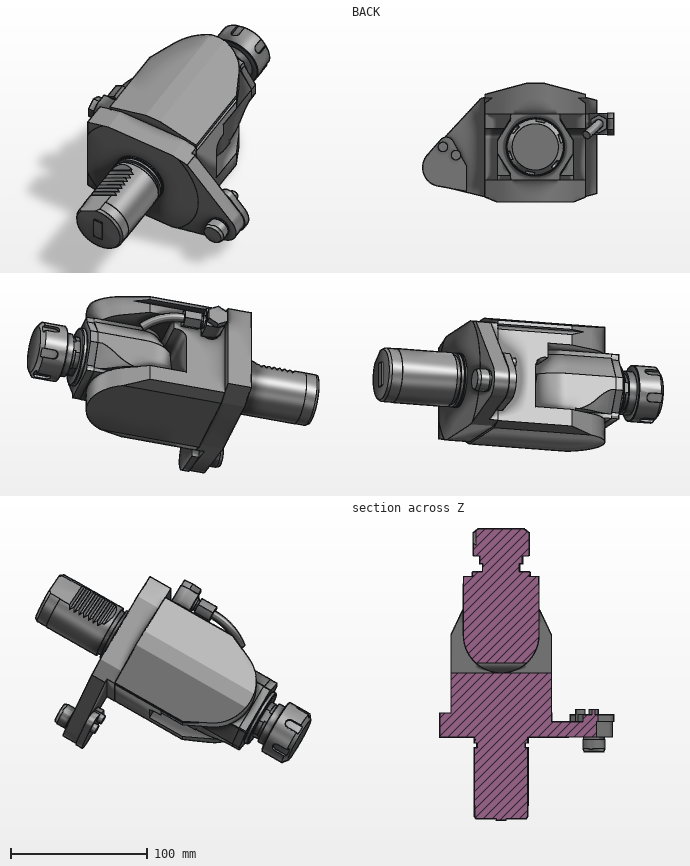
import math

import cadquery as cq


SHANK_DIAMETER = 40.0
SHANK_TIP_DIAMETER = 39.6
SHANK_LENGTH = 60.0
SHANK_TIP_LENGTH = 10.0
TIP_CHAMFER_LENGTH = 2.0
TIP_CHAMFER_DEPTH = 1.2
RELIEF_DIAMETER = 39.0
RELIEF_START = 1.2
RELIEF_END = 2.0
SEAL_GROOVE_DIAMETER = 36.0
SEAL_GROOVE_START = 4.3
SEAL_GROOVE_END = 7.6
KEY_WIDTH = 7.4
KEY_HEIGHT = 17.8
KEY_PROJECTION = 1.0
KEY_CORNER_RADIUS = 0.8

SERRATION_TILT = 30.0
CREST_DISTANCE = 17.15
ROOT_DISTANCE = 15.3
FLAT_START = 12.5
GROOVE_COUNT = 7
GROOVE_PITCH = 4.0
FIRST_GROOVE = 15.9

FLANGE_THICKNESS = 18.0
FLANGE_HALF_HEIGHT = 39.1
FLANGE_LEFT = -45.3
FLANGE_FLAT_HALF_WIDTH = 27.2
EDGE_SLOPE = math.tan(math.radians(15.0))
FLANGE_CORNER_X = 40.0
CONTACT_FACE_RADIUS = 49.6
CONTACT_FACE_RELIEF = 0.1

LUG_CENTER = (68.2, -14.9)
LUG_RADIUS = 13.8
LUG_THICKNESS = 11.5
LUG_STEP_X = 37.2
PLATE_RIGHT = 82.9
PLATE_TIP_CENTER = (68.85, -15.1)
PLATE_RADIUS = PLATE_RIGHT - PLATE_TIP_CENTER[0]
PLATE_THICKNESS = 5.3
PLATE_EAR_CENTER = (65.4, 1.5)
PLATE_EAR_RADIUS = 5.7
PLATE_LEFT = 50.6
PLATE_LEFT_TOP = -14.0
PLATE_LEFT_BOTTOM = -32.5
PLATE_EAR_ANGLES = (151.0, 43.0)
PLATE_TIP_ANGLES = (41.0, -75.0)
SCREW_DIAMETER = 7.0
SCREW_PROJECTION = 3.8
SCREW_CENTERS = ((58.3, -6.0), (67.9, 0.0))
PIN_DIAMETER = 16.4
PIN_NECK_DIAMETER = 15.5
PIN_NECK_LENGTH = 1.4
PIN_LENGTH = 10.6
PIN_CHAMFER_LENGTH = 2.4
PIN_CHAMFER_DEPTH = 1.0
PIN_FLAT_WIDTH = 4.0
PIN_FLAT_TILT = 16.0

HOUSING_TOP = 47.0
HOUSING_BOTTOM = -40.5
HOUSING_HALF_WIDTH = 37.0
ROOF_HALF_WIDTH = 6.0
ROOF_EDGE_Z = HOUSING_TOP - (HOUSING_HALF_WIDTH - ROOF_HALF_WIDTH) * EDGE_SLOPE
SIDE_NOTCH_TOP = 36.0
SIDE_NOTCH_BOTTOM = 32.1
SIDE_NOTCH_DEPTH = 5.1
KEEL_HALF_WIDTH = 28.3
KEEL_EDGE_Z = -36.9
NOSE_Y = 112.0
NOSE_RADIUS = 31.0
NOSE_TAPER = 25.5
SLOT_END_Y = 47.4
SLOT_CORNER_RADIUS = 7.5
SLOT_SHOULDER_Z = 13.5

HEAD_FRONT = 118.4
HEAD_PLATE_Y = 112.7
HEAD_HALF_WIDTH = 27.9
HEAD_TOP_HALF_WIDTH = 18.2
HEAD_HALF_HEIGHT = 24.3
HEAD_STRIP_Z = 21.0
HEAD_WAIST_HALF_HEIGHT = 4.8
HEAD_PIVOT_Y = SLOT_END_Y + HEAD_HALF_WIDTH
HEAD_REAR_TOP_Y = HEAD_PIVOT_Y - HEAD_TOP_HALF_WIDTH
REAR_TAPER_END_Y = 53.7
REAR_SCALLOP_TOP_Y = 54.6
REAR_SCALLOP_MIDDLE = (52.2, -8.0)
REAR_SCALLOP_LOW = (SLOT_END_Y, -18.0)
PLATE_STRIP_Z = 19.8
PLATE_EDGE_Z = 22.4
PLATE_EDGE_DEPTH = 0.3
PLATE_INSET = 0.1
CHAMFER_RUN_OUT = 109.3
CHAMFER_VANISH = 84.5
RUN_OUT_UPPER = (105.5, 0.88)
RUN_OUT_INFLECTION = (100.2, 0.636)
RUN_OUT_LOWER = (91.6, 0.2)
STRIP_END_Y = 81.5

CHUCK_FRONT = 153.39
NUT_REAR = 133.3
NUT_DIAMETER = 41.5
NUT_FRONT_DIAMETER = 34.0
NUT_FRONT_CHAMFER = 2.9
NUT_REAR_CHAMFER = 0.5
COLLAR_DIAMETER = 32.0
COLLAR_REAR = 127.5
SPINDLE_DIAMETER = 29.0
SPINDLE_NECK_DIAMETER = 28.2
SPINDLE_NECK_REAR = 125.3
WRENCH_FLAT_DISTANCE = 13.6
WRENCH_FLAT_TILT = 4.0
RING_DIAMETER = 43.0
RING_FRONT = 121.9
RING_CHAMFER = 0.7
NUT_SLOT_COUNT = 6
NUT_SLOT_WIDTH = 6.6
NUT_SLOT_END = 139.7
NUT_SLOT_FLOOR = 18.6
NUT_SLOT_TILT = 11.3

ELBOW_Y = 29.3
ELBOW_Z = 16.9
ELBOW_DIAMETER = 15.5
ELBOW_SPIGOT_DIAMETER = 14.5
ELBOW_SPIGOT_X = -39.5
ELBOW_BODY_X = -53.2
ELBOW_HEX_X = -57.8
ELBOW_HEX_FLATS = 14.2
NIPPLE_X = -46.7
NIPPLE_DIAMETER = 9.8
NIPPLE_SHOULDER_Y = 38.6
NIPPLE_NECK_DIAMETER = 8.2
NIPPLE_NUT_START = 40.2
NIPPLE_NUT_END = 52.8
NIPPLE_NUT_FLATS = 11.6
TUBE_DIAMETER = 6.37
TUBE_END = (-37.6, 82.0, 8.8)

CLEARANCE = 30.0
HEX_POINTS_PER_FLATS = 2.0 / math.sqrt(3.0)


def plane_y(y):
    """XZ workplane at the given y, with local axes X and Z."""
    return cq.Workplane("XZ", origin=(0, y, 0))


def prism_y(points, y_start, y_end):
    return plane_y(y_start).polyline(points).close().extrude(y_start - y_end)


def cylinder_y(diameter, y_start, y_end, center=(0, 0)):
    return plane_y(y_start).center(*center).circle(diameter / 2).extrude(y_start - y_end)


def box_between(low, high):
    size = [b - a for a, b in zip(low, high)]
    return cq.Workplane("XY").box(*size, centered=False).translate(low)


def turned_y(profile):
    """Solid of revolution about a Y axis from (radius, y) points."""
    points = [(0, profile[0][1])] + list(profile) + [(0, profile[-1][1])]
    return cq.Workplane("XY").polyline(points).close().revolve(360, (0, 0, 0), (0, 1, 0))


def spin_y(body, degrees):
    """Turn a body about the Y axis; a positive angle leans +Z towards -X."""
    return body.rotate((0, 0, 0), (0, 1, 0), -degrees)


def mirrored_pair(body):
    return body.union(body.mirror("YZ"))


def tangent_point(point, center, radius, side):
    """Touching point of the tangent from a point to a circle; side is +1 or -1."""
    dx = point[0] - center[0]
    dz = point[1] - center[1]
    angle = math.atan2(dz, dx) + side * math.acos(radius / math.hypot(dx, dz))
    return on_circle(center, radius, angle)


def on_circle(center, radius, angle):
    return (center[0] + radius * math.cos(angle), center[1] + radius * math.sin(angle))


def make_shank():
    radius = SHANK_DIAMETER / 2
    tip_radius = SHANK_TIP_DIAMETER / 2
    relief_radius = RELIEF_DIAMETER / 2
    groove_radius = SEAL_GROOVE_DIAMETER / 2
    tip_start = SHANK_LENGTH - SHANK_TIP_LENGTH
    shank = turned_y([
        (radius, FLANGE_THICKNESS / 2),
        (radius, -RELIEF_START),
        (relief_radius, -RELIEF_START),
        (relief_radius, -RELIEF_END),
        (radius, -RELIEF_END),
        (radius, -SEAL_GROOVE_START),
        (groove_radius, -SEAL_GROOVE_START),
        (groove_radius, -SEAL_GROOVE_END),
        (radius, -SEAL_GROOVE_END),
        (radius, -tip_start),
        (tip_radius, -tip_start),
        (tip_radius, -SHANK_LENGTH + TIP_CHAMFER_LENGTH),
        (tip_radius - TIP_CHAMFER_DEPTH, -SHANK_LENGTH),
    ])
    key = (
        plane_y(-SHANK_LENGTH + KEY_PROJECTION)
        .rect(KEY_WIDTH, KEY_HEIGHT)
        .extrude(2 * KEY_PROJECTION)
        .edges("|Y")
        .fillet(KEY_CORNER_RADIUS)
    )
    return shank.cut(make_serration()).union(key)


def make_serration():
    """Cutter for the flat with its 45 degree run-out and the 90 degree V grooves."""
    rise = SHANK_DIAMETER / 2 - CREST_DISTANCE + 1
    flat_end = -SHANK_LENGTH - 1
    side_plane = cq.Workplane("YZ")
    cutter = side_plane.polyline([
        (-FLAT_START, CREST_DISTANCE),
        (-FLAT_START + rise, CREST_DISTANCE + rise),
        (flat_end, CREST_DISTANCE + rise),
        (flat_end, CREST_DISTANCE),
    ]).close().extrude(SHANK_DIAMETER / 2, both=True)
    depth = CREST_DISTANCE - ROOT_DISTANCE
    for index in range(GROOVE_COUNT):
        y = -FIRST_GROOVE - index * GROOVE_PITCH
        groove = side_plane.polyline([
            (y - depth, CREST_DISTANCE),
            (y, ROOT_DISTANCE),
            (y + depth, CREST_DISTANCE),
        ]).close().extrude(SHANK_DIAMETER / 2, both=True)
        cutter = cutter.union(groove)
    return spin_y(cutter, SERRATION_TILT)


def make_flange():
    left_z = FLANGE_HALF_HEIGHT - (-FLANGE_LEFT - FLANGE_FLAT_HALF_WIDTH) * EDGE_SLOPE
    corner_z = FLANGE_HALF_HEIGHT - (FLANGE_CORNER_X - FLANGE_FLAT_HALF_WIDTH) * EDGE_SLOPE
    upper_corner = (FLANGE_CORNER_X, corner_z)
    lower_corner = (FLANGE_FLAT_HALF_WIDTH, -FLANGE_HALF_HEIGHT)
    upper_touch = tangent_point(upper_corner, LUG_CENTER, LUG_RADIUS, -1)
    lower_touch = tangent_point(lower_corner, LUG_CENTER, LUG_RADIUS, 1)
    flange = (
        plane_y(0)
        .moveTo(FLANGE_LEFT, left_z)
        .lineTo(-FLANGE_FLAT_HALF_WIDTH, FLANGE_HALF_HEIGHT)
        .lineTo(FLANGE_FLAT_HALF_WIDTH, FLANGE_HALF_HEIGHT)
        .lineTo(*upper_corner)
        .lineTo(*upper_touch)
        .threePointArc(on_circle(LUG_CENTER, LUG_RADIUS, 0), lower_touch)
        .lineTo(*lower_corner)
        .lineTo(-FLANGE_FLAT_HALF_WIDTH, -FLANGE_HALF_HEIGHT)
        .lineTo(FLANGE_LEFT, -left_z)
        .close()
        .extrude(-FLANGE_THICKNESS)
    )
    lug_step = box_between(
        (LUG_STEP_X, LUG_THICKNESS, -2 * FLANGE_HALF_HEIGHT),
        (LUG_STEP_X + 2 * CLEARANCE, FLANGE_THICKNESS, 2 * FLANGE_HALF_HEIGHT),
    )
    outside_contact_face = (
        plane_y(0)
        .circle(CONTACT_FACE_RADIUS + 2 * CLEARANCE)
        .circle(CONTACT_FACE_RADIUS)
        .extrude(-CONTACT_FACE_RELIEF)
    )
    return flange.cut(lug_step).cut(outside_contact_face)


def make_lug_plate():
    """Plate on the lug with an ear above the pin, and its two screw ends."""
    plate_end = LUG_THICKNESS + PLATE_THICKNESS
    ear_start, ear_end = [math.radians(angle) for angle in PLATE_EAR_ANGLES]
    tip_start, tip_end = [math.radians(angle) for angle in PLATE_TIP_ANGLES]
    ear_middle = (ear_start + ear_end) / 2
    plate = (
        plane_y(LUG_THICKNESS)
        .moveTo(PLATE_LEFT, PLATE_LEFT_TOP)
        .lineTo(*on_circle(PLATE_EAR_CENTER, PLATE_EAR_RADIUS, ear_start))
        .threePointArc(
            on_circle(PLATE_EAR_CENTER, PLATE_EAR_RADIUS, ear_middle),
            on_circle(PLATE_EAR_CENTER, PLATE_EAR_RADIUS, ear_end),
        )
        .lineTo(*on_circle(PLATE_TIP_CENTER, PLATE_RADIUS, tip_start))
        .threePointArc(
            on_circle(PLATE_TIP_CENTER, PLATE_RADIUS, 0),
            on_circle(PLATE_TIP_CENTER, PLATE_RADIUS, tip_end),
        )
        .lineTo(PLATE_LEFT, PLATE_LEFT_BOTTOM)
        .close()
        .extrude(-PLATE_THICKNESS)
    )
    for center in SCREW_CENTERS:
        screw = cylinder_y(SCREW_DIAMETER, LUG_THICKNESS, plate_end + SCREW_PROJECTION, center)
        plate = plate.union(screw)
    return plate


def make_pin():
    radius = PIN_DIAMETER / 2
    pin = turned_y([
        (PIN_NECK_DIAMETER / 2, LUG_THICKNESS / 2),
        (PIN_NECK_DIAMETER / 2, -PIN_NECK_LENGTH),
        (radius, -PIN_NECK_LENGTH),
        (radius, -PIN_LENGTH + PIN_CHAMFER_LENGTH),
        (radius - PIN_CHAMFER_DEPTH, -PIN_LENGTH),
    ])
    flat_distance = math.sqrt(radius ** 2 - (PIN_FLAT_WIDTH / 2) ** 2)
    flat = box_between((-radius, -PIN_LENGTH, flat_distance), (radius, -PIN_NECK_LENGTH, PIN_DIAMETER))
    pin = pin.cut(spin_y(flat, PIN_FLAT_TILT))
    return pin.translate((LUG_CENTER[0], 0, LUG_CENTER[1]))


def make_housing():
    half_section = [
        (0, HOUSING_TOP),
        (ROOF_HALF_WIDTH, HOUSING_TOP),
        (HOUSING_HALF_WIDTH, ROOF_EDGE_Z),
        (HOUSING_HALF_WIDTH, SIDE_NOTCH_TOP),
        (HOUSING_HALF_WIDTH - SIDE_NOTCH_DEPTH, SIDE_NOTCH_TOP),
        (HOUSING_HALF_WIDTH, SIDE_NOTCH_BOTTOM),
        (HOUSING_HALF_WIDTH, KEEL_EDGE_Z),
        (KEEL_HALF_WIDTH, HOUSING_BOTTOM),
        (0, HOUSING_BOTTOM),
    ]
    section = half_section + [(-x, z) for x, z in reversed(half_section[1:-1])]
    body = prism_y(section, FLANGE_THICKNESS, NOSE_Y)
    return body.intersect(make_nose_plan()).cut(make_head_slot())


def make_nose_plan():
    """Plan outline of the housing: straight sides, tapers, and a round nose tangent to them."""
    taper = math.radians(NOSE_TAPER)
    touch_x, touch_y = on_circle((0, NOSE_Y - NOSE_RADIUS), NOSE_RADIUS, taper)
    shoulder_y = touch_y - (HOUSING_HALF_WIDTH - touch_x) / math.tan(taper)
    return (
        cq.Workplane("XY", origin=(0, 0, HOUSING_BOTTOM))
        .moveTo(-HOUSING_HALF_WIDTH, FLANGE_THICKNESS)
        .lineTo(HOUSING_HALF_WIDTH, FLANGE_THICKNESS)
        .lineTo(HOUSING_HALF_WIDTH, shoulder_y)
        .lineTo(touch_x, touch_y)
        .threePointArc((0, NOSE_Y), (-touch_x, touch_y))
        .lineTo(-HOUSING_HALF_WIDTH, shoulder_y)
        .close()
        .extrude(HOUSING_TOP - HOUSING_BOTTOM)
    )


def make_head_slot():
    """Cutter for the opening between the two housing arms."""
    corner_center = (SLOT_END_Y + SLOT_CORNER_RADIUS, SLOT_SHOULDER_Z - SLOT_CORNER_RADIUS)
    return (
        cq.Workplane("YZ")
        .moveTo(SLOT_END_Y, -HEAD_HALF_HEIGHT)
        .lineTo(SLOT_END_Y, corner_center[1])
        .threePointArc(
            on_circle(corner_center, SLOT_CORNER_RADIUS, math.radians(135.0)),
            (corner_center[0], SLOT_SHOULDER_Z),
        )
        .lineTo(HEAD_REAR_TOP_Y, SLOT_SHOULDER_Z)
        .lineTo(HEAD_REAR_TOP_Y, HEAD_HALF_HEIGHT)
        .lineTo(HEAD_FRONT, HEAD_HALF_HEIGHT)
        .lineTo(HEAD_FRONT, -HEAD_HALF_HEIGHT)
        .close()
        .extrude(HOUSING_HALF_WIDTH + 1, both=True)
    )


def make_head():
    half_section = [
        (0, HEAD_HALF_HEIGHT),
        (HEAD_TOP_HALF_WIDTH, HEAD_HALF_HEIGHT),
        (HEAD_TOP_HALF_WIDTH, HEAD_STRIP_Z),
        (HEAD_HALF_WIDTH, HEAD_WAIST_HALF_HEIGHT),
        (HEAD_HALF_WIDTH, -HEAD_HALF_HEIGHT),
        (0, -HEAD_HALF_HEIGHT),
    ]
    section = half_section + [(-x, z) for x, z in reversed(half_section[1:-1])]
    body = prism_y(section, HEAD_PIVOT_Y, HEAD_PLATE_Y)
    rear = cq.Workplane("XZ").polyline(half_section).close().revolve(360, (0, 0, 0), (0, 1, 0))
    rear = rear.translate((0, HEAD_PIVOT_Y, 0)).cut(make_rear_scallop())
    lower_cut = make_lower_chamfer().union(make_lower_strip())
    return body.union(rear).cut(mirrored_pair(lower_cut)).union(make_head_plate())


def make_rear_scallop():
    """Cutter for the rear end: tapered above the waist, scooped below it."""
    return (
        cq.Workplane("YZ")
        .moveTo(HEAD_REAR_TOP_Y, HEAD_HALF_HEIGHT)
        .lineTo(REAR_TAPER_END_Y, HEAD_WAIST_HALF_HEIGHT)
        .lineTo(REAR_SCALLOP_TOP_Y, HEAD_WAIST_HALF_HEIGHT)
        .threePointArc(REAR_SCALLOP_MIDDLE, REAR_SCALLOP_LOW)
        .lineTo(SLOT_END_Y - 1, REAR_SCALLOP_LOW[1])
        .lineTo(SLOT_END_Y - 1, HEAD_HALF_HEIGHT)
        .close()
        .extrude(HEAD_HALF_WIDTH + 1, both=True)
    )


def make_lower_chamfer():
    """Cutter for the lower left chamfer, which fades out rearwards along an S curve."""
    width = HEAD_HALF_WIDTH - HEAD_TOP_HALF_WIDTH
    height = HEAD_STRIP_Z - HEAD_WAIST_HALF_HEIGHT
    slope_length = math.hypot(width, height)
    depth = width * height / slope_length
    across = cq.Plane(
        origin=(-HEAD_HALF_WIDTH, 0, -HEAD_STRIP_Z),
        xDir=(0, 1, 0),
        normal=(-width, 0, height),
    )
    stations = (RUN_OUT_UPPER, RUN_OUT_INFLECTION, RUN_OUT_LOWER)
    upper, inflection, lower = [(y, -depth * share) for y, share in stations]
    profile = (
        cq.Workplane(across)
        .moveTo(CHAMFER_RUN_OUT, -depth)
        .threePointArc(upper, inflection)
        .threePointArc(lower, (CHAMFER_VANISH, 0))
        .lineTo(CHAMFER_VANISH, CLEARANCE)
        .lineTo(HEAD_FRONT, CLEARANCE)
        .lineTo(HEAD_FRONT, -depth)
        .close()
    )
    cutter = profile.extrude(CLEARANCE, both=True)
    corner = box_between(
        (-HEAD_HALF_WIDTH - 1, CHAMFER_VANISH, -HEAD_STRIP_Z),
        (-HEAD_TOP_HALF_WIDTH, HEAD_FRONT, -HEAD_WAIST_HALF_HEIGHT),
    )
    return cutter.intersect(corner)


def make_lower_strip():
    return box_between(
        (-HEAD_HALF_WIDTH - 1, STRIP_END_Y, -HEAD_HALF_HEIGHT),
        (-HEAD_TOP_HALF_WIDTH, HEAD_FRONT, -HEAD_STRIP_Z),
    )


def make_head_plate():
    """Front plate of the head, an octagon with broken corners, set in slightly from the head."""
    half_width = HEAD_HALF_WIDTH - PLATE_INSET
    quarter = [
        (HEAD_TOP_HALF_WIDTH - PLATE_EDGE_DEPTH, HEAD_HALF_HEIGHT - PLATE_INSET),
        (HEAD_TOP_HALF_WIDTH, PLATE_EDGE_Z),
        (HEAD_TOP_HALF_WIDTH, PLATE_STRIP_Z),
        (half_width, HEAD_WAIST_HALF_HEIGHT),
    ]
    right = quarter + [(x, -z) for x, z in reversed(quarter)]
    outline = right + [(-x, z) for x, z in reversed(right)]
    return prism_y(outline, HEAD_PLATE_Y, HEAD_FRONT)


def make_chuck():
    nut_radius = NUT_DIAMETER / 2
    collar_radius = COLLAR_DIAMETER / 2
    spindle_radius = SPINDLE_DIAMETER / 2
    ring_radius = RING_DIAMETER / 2
    chuck = turned_y([
        (ring_radius - RING_CHAMFER, HEAD_FRONT),
        (ring_radius, HEAD_FRONT + RING_CHAMFER),
        (ring_radius, RING_FRONT - RING_CHAMFER),
        (ring_radius - RING_CHAMFER, RING_FRONT),
        (spindle_radius, RING_FRONT),
        (spindle_radius, SPINDLE_NECK_REAR),
        (SPINDLE_NECK_DIAMETER / 2, SPINDLE_NECK_REAR),
        (SPINDLE_NECK_DIAMETER / 2, COLLAR_REAR),
        (collar_radius, COLLAR_REAR),
        (collar_radius, NUT_REAR),
        (nut_radius - NUT_REAR_CHAMFER, NUT_REAR),
        (nut_radius, NUT_REAR + NUT_REAR_CHAMFER),
        (nut_radius, CHUCK_FRONT - NUT_FRONT_CHAMFER),
        (NUT_FRONT_DIAMETER / 2, CHUCK_FRONT),
    ])
    wrench_flat = box_between(
        (-spindle_radius, RING_FRONT, WRENCH_FLAT_DISTANCE),
        (spindle_radius, COLLAR_REAR, spindle_radius + 1),
    )
    for quarter_turn in range(0, 360, 90):
        chuck = chuck.cut(spin_y(wrench_flat, WRENCH_FLAT_TILT + quarter_turn))
    nut_slot = make_nut_slot()
    for index in range(NUT_SLOT_COUNT):
        chuck = chuck.cut(spin_y(nut_slot, NUT_SLOT_TILT + index * 360 / NUT_SLOT_COUNT))
    return chuck


def make_nut_slot():
    half_width = NUT_SLOT_WIDTH / 2
    return (
        cq.Workplane("XY", origin=(0, 0, NUT_SLOT_FLOOR))
        .moveTo(-half_width, CHUCK_FRONT + 1)
        .lineTo(-half_width, NUT_SLOT_END + half_width)
        .threePointArc((0, NUT_SLOT_END), (half_width, NUT_SLOT_END + half_width))
        .lineTo(half_width, CHUCK_FRONT + 1)
        .close()
        .extrude(NUT_DIAMETER / 2)
    )


def make_elbow():
    """Elbow screwed into the housing side: round below, square towards +Y, hexagon at the end."""
    radius = ELBOW_DIAMETER / 2
    axis = cq.Workplane("YZ", origin=(ELBOW_BODY_X, ELBOW_Y, ELBOW_Z))
    body = axis.circle(radius).extrude(ELBOW_SPIGOT_X - ELBOW_BODY_X)
    square = box_between(
        (ELBOW_BODY_X, ELBOW_Y, ELBOW_Z - radius),
        (ELBOW_SPIGOT_X, ELBOW_Y + radius, ELBOW_Z + radius),
    )
    spigot_length = 1 - HOUSING_HALF_WIDTH - ELBOW_BODY_X
    spigot = axis.circle(ELBOW_SPIGOT_DIAMETER / 2).extrude(spigot_length)
    hexagon = (
        axis.transformed(rotate=(0, 0, 90))
        .polygon(6, ELBOW_HEX_FLATS * HEX_POINTS_PER_FLATS)
        .extrude(ELBOW_HEX_X - ELBOW_BODY_X)
    )
    return body.union(square).union(spigot).union(hexagon)


def make_nipple():
    center = (NIPPLE_X, ELBOW_Z)
    shoulder = cylinder_y(NIPPLE_DIAMETER, ELBOW_Y, NIPPLE_SHOULDER_Y, center)
    neck = cylinder_y(NIPPLE_NECK_DIAMETER, ELBOW_Y, NIPPLE_NUT_END, center)
    nut = (
        plane_y(NIPPLE_NUT_START)
        .center(*center)
        .transformed(rotate=(0, 0, 90))
        .polygon(6, NIPPLE_NUT_FLATS * HEX_POINTS_PER_FLATS)
        .extrude(NIPPLE_NUT_START - NIPPLE_NUT_END)
    )
    return shoulder.union(neck).union(nut)


def make_tube():
    """Tube leaving the nipple along +Y and bending in one arc towards the tool."""
    start = (NIPPLE_X, NIPPLE_NUT_END, ELBOW_Z)
    path = cq.Workplane(cq.Edge.makeTangentArc(cq.Vector(start), cq.Vector(0, 1, 0), cq.Vector(TUBE_END)))
    section = plane_y(NIPPLE_NUT_END).center(NIPPLE_X, ELBOW_Z).circle(TUBE_DIAMETER / 2)
    return section.sweep(path)


result = (
    make_flange()
    .union(make_shank())
    .union(make_lug_plate())
    .union(make_pin())
    .union(make_housing())
    .union(make_head())
    .union(make_chuck())
    .union(make_elbow())
    .union(make_nipple())
    .union(make_tube())
)